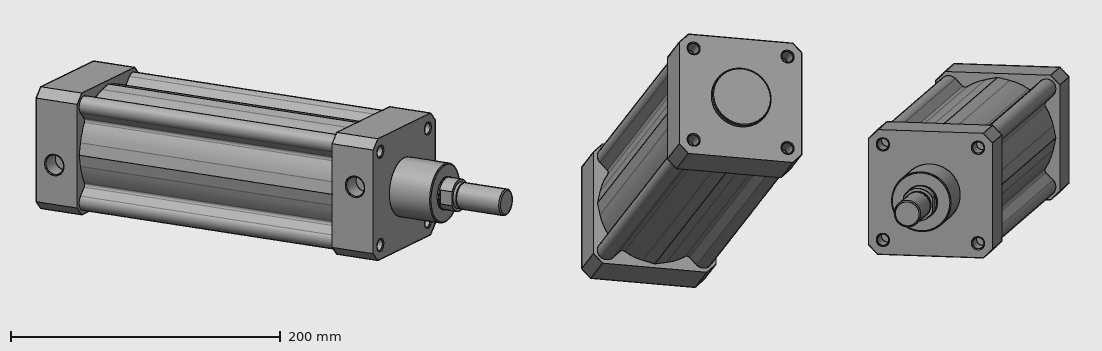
import cadquery as cq
import math

spigot_length = 4.0
cap_length = 35.0
barrel_length = 217.0
nose_length = 35.0
total_length = 378.0

rear_cap_start = spigot_length
barrel_start = rear_cap_start + cap_length
front_cap_start = barrel_start + barrel_length
front_cap_end = front_cap_start + cap_length
nose_end = front_cap_end + nose_length

cap_width = 94.0
cap_corner_chamfer = 7.0
spigot_diameter = 45.0
spigot_chamfer = 0.75
bolt_pitch = 72.0
bolt_hole_diameter = 8.5
bolt_hole_depth = 16.0
bolt_hole_chamfer = 0.75
port_diameter = 15.0
port_depth = 15.0
port_chamfer = 0.75
port_height = 9.5
port_inset = 15.5

barrel_radius = 43.0
ridge_height = 44.0
tube_offset = 37.0
tube_radius = 7.0
web_fillet = 2.5

rod_diameter = 25.0
collar_diameter = 24.5
collar_start = 327.2
collar_end = 338.0
flats_start = 328.2
flats_width = 22.0
thread_diameter = 20.0
thread_start = 341.2
relief_diameter = 18.0
relief_x = 340.0
thread_chamfer = 1.0


def polar(radius, angle):
    return (radius * math.cos(angle), radius * math.sin(angle))


def make_cap(start):
    """Square block with chamfered long corners."""
    return (
        cq.Workplane("YZ", origin=(start, 0, 0))
        .rect(cap_width, cap_width)
        .extrude(cap_length)
        .edges("|X")
        .chamfer(cap_corner_chamfer)
    )


def bolt_holes(outer_face, direction):
    """Four chamfered blind holes going from an outer cap face along X."""
    mouth_radius = bolt_hole_diameter / 2 + bolt_hole_chamfer
    half_profile = [
        (outer_face, 0),
        (outer_face, mouth_radius),
        (outer_face + direction * bolt_hole_chamfer, bolt_hole_diameter / 2),
        (outer_face + direction * bolt_hole_depth, bolt_hole_diameter / 2),
        (outer_face + direction * bolt_hole_depth, 0),
    ]
    hole = cq.Workplane("XY").polyline(half_profile).close().revolve(360, (0, 0, 0), (1, 0, 0))
    holes = cq.Workplane("XY")
    for side_y in (-1, 1):
        for side_z in (-1, 1):
            holes = holes.add(hole.translate((0, side_y * bolt_pitch / 2, side_z * bolt_pitch / 2)))
    return holes.combine()


def port(x, z):
    """Chamfered blind air port going in from the -Y face."""
    face = -cap_width / 2
    mouth_radius = port_diameter / 2 + port_chamfer
    half_profile = [
        (0, face),
        (mouth_radius, face),
        (port_diameter / 2, face + port_chamfer),
        (port_diameter / 2, face + port_depth),
        (0, face + port_depth),
    ]
    hole = cq.Workplane("XY").polyline(half_profile).close().revolve(360, (0, 0, 0), (0, 1, 0))
    return hole.translate((x, 0, z))


def make_rear_cap():
    spigot = (
        cq.Workplane("YZ")
        .circle(spigot_diameter / 2)
        .extrude(spigot_length)
        .faces("<X")
        .chamfer(spigot_chamfer)
    )
    return (
        make_cap(rear_cap_start)
        .union(spigot)
        .cut(bolt_holes(rear_cap_start, 1))
        .cut(port(rear_cap_start + port_inset, -port_height))
    )


def make_front_cap():
    nose = (
        cq.Workplane("YZ", origin=(front_cap_end, 0, 0))
        .circle(spigot_diameter / 2)
        .extrude(nose_length)
        .faces(">X")
        .chamfer(spigot_chamfer)
    )
    return (
        make_cap(front_cap_start)
        .union(nose)
        .cut(bolt_holes(front_cap_end, -1))
        .cut(port(front_cap_end - port_inset, port_height))
    )


def make_barrel():
    """Round body with a shallow ridge on each side and a tube on a web at each corner.

    The outline is drawn one corner at a time, from ridge to ridge, all joints but the ridges tangent.
    """
    diagonal = math.pi / 4
    fillet_centre_radius = barrel_radius + web_fillet
    fillet_half_angle = math.asin((tube_radius + web_fillet) / fillet_centre_radius)
    web_foot = fillet_centre_radius * math.cos(fillet_half_angle)
    tube_centre = tube_offset * math.sqrt(2)

    def corner_point(along, across, turn):
        """Point given along and across a corner diagonal."""
        angle = turn + diagonal
        return (
            along * math.cos(angle) - across * math.sin(angle),
            along * math.sin(angle) + across * math.cos(angle),
        )

    def fillet_middle(side):
        """Halfway point of the fillet arc beside the web, along and across the corner diagonal."""
        arc_start = math.pi + fillet_half_angle
        arc_end = 3 * math.pi / 2
        middle = (arc_start + arc_end) / 2
        along = web_foot + web_fillet * math.cos(middle)
        across = tube_radius + web_fillet + web_fillet * math.sin(middle)
        return along, side * across

    quarter = math.pi / 2
    arc_start = math.acos(barrel_radius / ridge_height)
    arc_end = diagonal - fillet_half_angle
    arc_middle = (arc_start + arc_end) / 2
    outline = cq.Workplane("YZ", origin=(barrel_start, 0, 0)).moveTo(ridge_height, 0)
    for corner in range(4):
        turn = corner * quarter
        outline = (
            outline.lineTo(*polar(barrel_radius, turn + arc_start))
            .threePointArc(polar(barrel_radius, turn + arc_middle), polar(barrel_radius, turn + arc_end))
            .threePointArc(corner_point(*fillet_middle(-1), turn), corner_point(web_foot, -tube_radius, turn))
            .lineTo(*corner_point(tube_centre, -tube_radius, turn))
            .threePointArc(
                corner_point(tube_centre + tube_radius, 0, turn),
                corner_point(tube_centre, tube_radius, turn),
            )
            .lineTo(*corner_point(web_foot, tube_radius, turn))
            .threePointArc(corner_point(*fillet_middle(1), turn), polar(barrel_radius, turn + quarter - arc_end))
            .threePointArc(
                polar(barrel_radius, turn + quarter - arc_middle),
                polar(barrel_radius, turn + quarter - arc_start),
            )
            .lineTo(*polar(ridge_height, turn + quarter))
        )
    return outline.close().extrude(barrel_length)


def make_rod():
    """Rod end, flush with the nose: collar with two wrench flats, relief groove and plain thread."""
    thread_radius = thread_diameter / 2
    half_profile = [
        (nose_end, 0),
        (nose_end, rod_diameter / 2),
        (collar_start, rod_diameter / 2),
        (collar_start, collar_diameter / 2),
        (collar_end, collar_diameter / 2),
        (collar_end, thread_radius),
        (relief_x, relief_diameter / 2),
        (thread_start, thread_radius),
        (total_length - thread_chamfer, thread_radius),
        (total_length, thread_radius - thread_chamfer),
        (total_length, 0),
    ]
    rod = cq.Workplane("XY").polyline(half_profile).close().revolve(360, (0, 0, 0), (1, 0, 0))
    flats_length = collar_end - flats_start
    for side in (-1, 1):
        waste = cq.Workplane("XY").box(flats_length, collar_diameter, collar_diameter).translate(
            (flats_start + flats_length / 2, side * (flats_width + collar_diameter) / 2, 0)
        )
        rod = rod.cut(waste)
    return rod


rear_cap = make_rear_cap()
barrel = make_barrel()
front_cap = make_front_cap()
rod = make_rod()

result = cq.Compound.makeCompound([rear_cap.val(), barrel.val(), front_cap.val(), rod.val()])